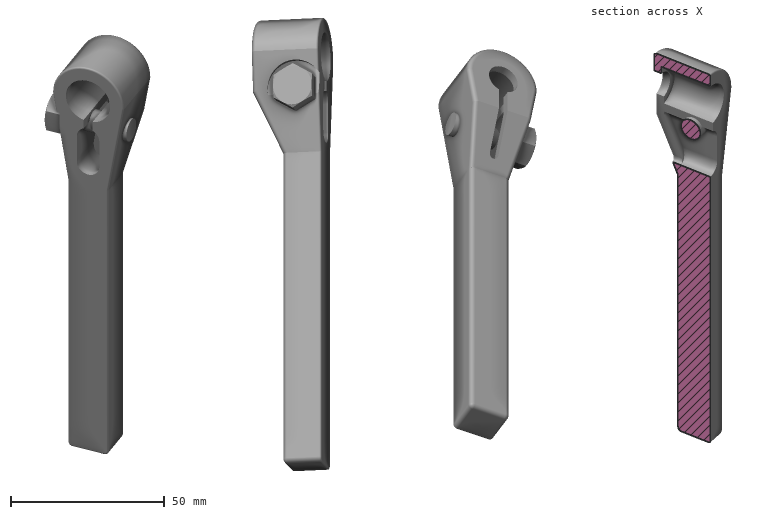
import cadquery as cq
import math

TOTAL_HEIGHT = 149.1
HEAD_RADIUS = 12.7
HEAD_DEPTH = 22.2
HEAD_BACK_BOTTOM = 123.5
BORE_Z = TOTAL_HEIGHT - HEAD_RADIUS
BORE_RADIUS = 7.9
LIP_RADIUS = 5.2
LIP_THICKNESS = 3.0

SHANK_WIDTH = 14.3
SHANK_DEPTH = 12.8
SHANK_TOP = 103.3
FRONT_FILLET = 0.6
BACK_FILLET = 1.5

SLIT_WIDTH = 3.1
POCKET_WIDTH = 8.0
POCKET_BOTTOM = 107.8
POCKET_TOP = 125.7
POCKET_WALL = 3.0

BOLT_Y = 7.8
BOLT_Z = 123.8
BOLT_RADIUS = 3.9
BOLT_END_X = 12.0
HEX_SIDES = 6
HEX_FLATS = 12.8
HEX_HEIGHT = 5.8
HEX_CHAMFER_ANGLE = 30.0
SEAT_X = -10.3
SPOTFACE_RADIUS = 9.4


def front_outline():
    """Shank, straight flanks and half-round head, cut through the full depth."""
    half_width = SHANK_WIDTH / 2
    return (
        cq.Workplane("XZ")
        .moveTo(-half_width, 0)
        .lineTo(half_width, 0)
        .lineTo(half_width, SHANK_TOP)
        .lineTo(HEAD_RADIUS, BORE_Z)
        .threePointArc((0, TOTAL_HEIGHT), (-HEAD_RADIUS, BORE_Z))
        .lineTo(-half_width, SHANK_TOP)
        .close()
        .extrude(-HEAD_DEPTH)
    )


def side_prism(wall, width):
    """Side profile moved in from the back by the wall, extruded about x = 0."""
    slope_run = HEAD_BACK_BOTTOM - SHANK_TOP
    slope_rise = HEAD_DEPTH - SHANK_DEPTH
    half_turn = math.atan2(slope_rise, slope_run) / 2
    corner_shift = wall * math.tan(half_turn)
    return (
        cq.Workplane("YZ")
        .polyline([
            (0, 0),
            (SHANK_DEPTH - wall, 0),
            (SHANK_DEPTH - wall, SHANK_TOP + corner_shift),
            (HEAD_DEPTH - wall, HEAD_BACK_BOTTOM + corner_shift),
            (HEAD_DEPTH - wall, TOTAL_HEIGHT),
            (0, TOTAL_HEIGHT),
        ])
        .close()
        .extrude(width / 2, both=True)
    )


def lever_body():
    """Head and shank, rounded separately so that each fillet ends at their joint."""
    blank = front_outline().intersect(side_prism(0, 2 * HEAD_RADIUS))
    lower_space = cq.Workplane("XY").box(
        2 * HEAD_RADIUS, 2 * HEAD_DEPTH, SHANK_TOP, centered=(True, True, False)
    )
    shank = blank.intersect(lower_space)
    shank = shank.edges("|Z and >Y").add(shank.faces("<Z").edges("not <Y")).fillet(BACK_FILLET)
    shank = shank.edges("|Z and <Y").add(shank.edges("<Z and <Y")).fillet(FRONT_FILLET)

    head = blank.cut(lower_space)
    back = cq.selectors.BoxSelector((-1.5, SHANK_DEPTH, SHANK_TOP), (1.5, 2 * HEAD_DEPTH, BORE_Z))
    head = head.faces(back).edges("not |X").fillet(BACK_FILLET)
    head = head.faces("<Y").edges("not <Z").fillet(FRONT_FILLET)
    return shank.union(head)


def stepped_bore():
    """Wide bore from the front, leaving a lip around the smaller hole at the back."""
    bore_plane = cq.Workplane("XZ").center(0, BORE_Z)
    wide = bore_plane.circle(BORE_RADIUS).extrude(-(HEAD_DEPTH - LIP_THICKNESS))
    narrow = bore_plane.circle(LIP_RADIUS).extrude(-HEAD_DEPTH)
    return wide.union(narrow)


def slit():
    """Through slit from the bore down to a round end at the pocket's lowest point."""
    end_radius = SLIT_WIDTH / 2
    length = BORE_Z + end_radius - POCKET_BOTTOM
    return (
        cq.Workplane("XZ")
        .center(0, POCKET_BOTTOM + length / 2)
        .slot2D(length, SLIT_WIDTH, 90)
        .extrude(-HEAD_DEPTH)
    )


def pocket():
    """Round-ended pocket whose floor follows the sloped back of the head."""
    length = POCKET_TOP - POCKET_BOTTOM
    outline = (
        cq.Workplane("XZ")
        .center(0, POCKET_BOTTOM + length / 2)
        .slot2D(length, POCKET_WIDTH, 90)
        .extrude(-HEAD_DEPTH)
    )
    return outline.intersect(side_prism(POCKET_WALL, POCKET_WIDTH))


def spotface():
    """Round seat for the bolt head; its lower part runs out of the tapered flank."""
    return bolt_plane(SEAT_X).circle(SPOTFACE_RADIUS).extrude(-HEX_HEIGHT)


def bolt_plane(x):
    return cq.Workplane("YZ", origin=(x, BOLT_Y, BOLT_Z))


def bolt():
    corner_radius = HEX_FLATS / 2 / math.cos(math.pi / HEX_SIDES)
    chamfer_width = corner_radius - HEX_FLATS / 2
    chamfer_height = chamfer_width * math.tan(math.radians(HEX_CHAMFER_ANGLE))
    head = (
        bolt_plane(SEAT_X)
        .transformed(rotate=(0, 0, 90))
        .polygon(HEX_SIDES, 2 * corner_radius)
        .extrude(-HEX_HEIGHT)
    )
    chamfer_cone = (
        bolt_plane(SEAT_X)
        .circle(corner_radius)
        .extrude(-HEX_HEIGHT)
        .faces("<X")
        .chamfer(chamfer_height, chamfer_width)
    )
    shaft = bolt_plane(SEAT_X).circle(BOLT_RADIUS).extrude(BOLT_END_X - SEAT_X)
    return head.intersect(chamfer_cone).union(shaft)


result = (
    lever_body()
    .cut(stepped_bore())
    .cut(slit())
    .cut(pocket())
    .cut(spotface())
    .union(bolt())
)